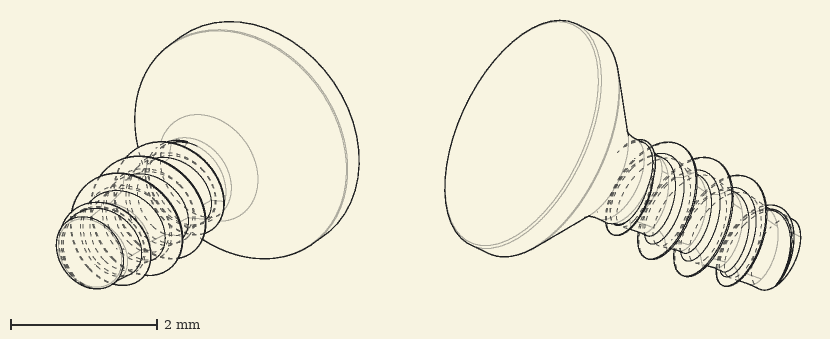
import cadquery as cq
import math

length = 4.5

head_radius = 3.35 / 2
head_edge_rounding = 0.03
shank_radius = 0.605
neck_fillet_radius = 0.6
neck_end_depth = 1.67
shank_end_depth = 1.82
core_start_depth = 2.07
core_radius = 0.527
countersink_angle = math.radians(45)

dish_radius = 0.5
dish_depth = 0.05

pitch = 0.638
reference_depth = 1.78
reference_angle = math.pi
crest_radius = 0.81
first_crest_radius = 0.62
last_crest_radius = core_radius + 0.01
start_turn = -0.25
fade_in_end_turn = 1.0
fade_out_start_turn = 2.75
end_turn = 4.25
turns_per_span = 0.25
steps_per_span = 8

crest_half_width = 0.012
head_flank_knee_offset = -0.055
head_flank_knee_height = 0.08
head_flank_root_offset = -0.15
land_start_offset = 0.078
land_start_height = 0.055
land_end_offset = 0.435
root_embedding = 0.005
base_radius = 0.45


def make_body():
    """Head, neck, shank and plain core, revolved about the Y axis."""
    cone_end_radius = shank_radius + neck_fillet_radius * (1 - math.cos(countersink_angle))
    cone_end_depth = neck_end_depth - neck_fillet_radius * math.sin(countersink_angle)
    cone_length = (head_radius - cone_end_radius) / math.tan(countersink_angle)
    rim_end_depth = cone_end_depth - cone_length
    half_angle = countersink_angle / 2
    neck_middle = (
        -(neck_end_depth - neck_fillet_radius * math.sin(half_angle)),
        shank_radius + neck_fillet_radius * (1 - math.cos(half_angle)),
    )
    body = (
        cq.Workplane("YZ")
        .moveTo(0, 0)
        .lineTo(0, head_radius)
        .lineTo(-rim_end_depth, head_radius)
        .lineTo(-cone_end_depth, cone_end_radius)
        .threePointArc(neck_middle, (-neck_end_depth, shank_radius))
        .lineTo(-shank_end_depth, shank_radius)
        .lineTo(-core_start_depth, core_radius)
        .lineTo(-length, core_radius)
        .lineTo(-length, 0)
        .close()
        .revolve(360, (0, 0, 0), (1, 0, 0))
    )
    rim_edges = cq.selectors.RadiusNthSelector(-1)
    return body.edges(rim_edges).fillet(head_edge_rounding)


def crest_radius_at(turn):
    """Crest radius, tapering linearly over the fade-in and fade-out turns."""
    if turn < fade_in_end_turn:
        fade = (turn - start_turn) / (fade_in_end_turn - start_turn)
        return first_crest_radius + (crest_radius - first_crest_radius) * fade
    if turn > fade_out_start_turn:
        fade = (turn - fade_out_start_turn) / (end_turn - fade_out_start_turn)
        return crest_radius + (last_crest_radius - crest_radius) * fade
    return crest_radius


def tooth_section(turn):
    """Tooth corners as (depth, radius), flank widths and heights scaled with the fade."""
    crest = crest_radius_at(turn)
    scale = (crest - core_radius) / (crest_radius - core_radius)
    foot_radius = core_radius - root_embedding
    helix_depth = reference_depth + pitch * turn
    crest_depth = max(helix_depth, shank_end_depth)
    head_root_depth = crest_depth + head_flank_root_offset * scale
    head_knee_depth = crest_depth + head_flank_knee_offset * scale
    land_start_depth = crest_depth + land_start_offset * scale
    land_end_depth = helix_depth + land_end_offset
    return [
        (head_root_depth, base_radius),
        (head_root_depth, foot_radius),
        (head_knee_depth, core_radius + head_flank_knee_height * scale),
        (crest_depth - crest_half_width * scale, crest),
        (crest_depth + crest_half_width * scale, crest),
        (land_start_depth, core_radius + land_start_height * scale),
        (land_end_depth, foot_radius),
        (land_end_depth, base_radius),
    ]


def tooth_ring(turn):
    """Tooth corners as points in space, on the meridian plane reached at this turn."""
    angle = reference_angle + 2 * math.pi * turn
    return [
        cq.Vector(radius * math.cos(angle), -depth, radius * math.sin(angle))
        for depth, radius in tooth_section(turn)
    ]


def make_thread():
    """Thread ridge: ruled faces between the helical paths of the tooth corners, with end caps."""
    faces = []
    span_count = round((end_turn - start_turn) / turns_per_span)
    for span in range(span_count):
        span_start = start_turn + span * turns_per_span
        turns = [span_start + turns_per_span * i / steps_per_span for i in range(steps_per_span + 1)]
        rings = [tooth_ring(turn) for turn in turns]
        paths = [cq.Edge.makeSpline(list(points)) for points in zip(*rings)]
        faces += [cq.Face.makeRuledSurface(a, b) for a, b in zip(paths, paths[1:] + paths[:1])]
    for ring in (tooth_ring(start_turn), tooth_ring(end_turn)):
        faces.append(cq.Face.makeFromWires(cq.Wire.makePolygon(ring, close=True)))
    return cq.Workplane(cq.Solid.makeSolid(cq.Shell.makeShell(faces)).fix())


def make_thread_limits():
    """Cylinder that trims the thread at the shank end and at the tip."""
    return (
        cq.Workplane("XZ", origin=(0, -shank_end_depth, 0))
        .circle(head_radius)
        .extrude(length - shank_end_depth)
    )


def make_tip_dish():
    """Sphere that hollows the tip face, leaving a narrow flat rim."""
    sphere_radius = (dish_radius**2 + dish_depth**2) / (2 * dish_depth)
    center_y = -length + dish_depth - sphere_radius
    return cq.Workplane(origin=(0, center_y, 0)).sphere(sphere_radius)


thread = make_thread().intersect(make_thread_limits())
result = make_body().union(thread).cut(make_tip_dish())